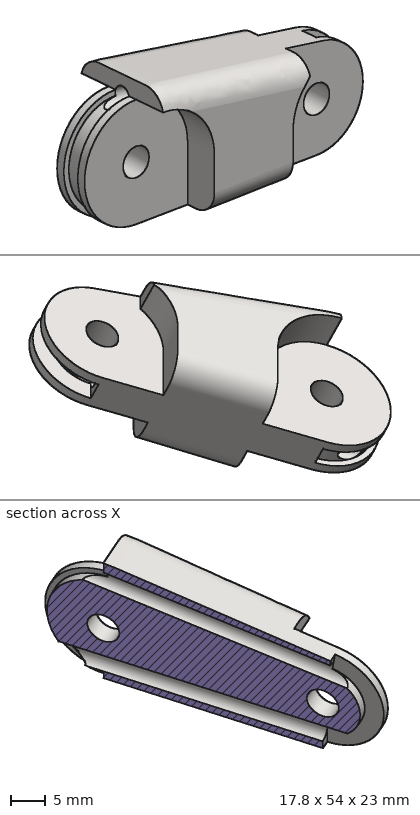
import cadquery as cq
import math

total_length = 54.0
front_radius = 10.0
rear_radius = 9.0
pin_diameter = 5.0
plate_width = 6.0
front_y = front_radius
front_z = front_radius
rear_y = total_length - rear_radius
rear_z = rear_radius

top_angle = math.radians(8.1)
top_height = 23.0
nose_length = 1.85
nose_y = front_y + nose_length
tangent_y = rear_y + rear_radius * math.sin(top_angle)
tangent_z = rear_z + rear_radius * math.cos(top_angle)


def top_z(y):
    """Height of the sloping top at a given Y."""
    return tangent_z + (tangent_y - y) * math.tan(top_angle)


body_width = 17.9
body_rear_width = 17.0
body_rear_y = 39.05
rear_clearance_radius = 9.5
corner_radius = 3.95

cable_diameter = 3.0
front_groove_depth = 0.95
rear_groove_depth = 3.0
lower_hole_z = 2.95
upper_hole_front_z = 19.55
upper_hole_rear_z = 15.55


def extrude_across(profile, width):
    """Extrude a YZ profile symmetrically about the middle plane."""
    return profile.extrude(width / 2, both=True)


def eye(y, z, radius, width):
    return extrude_across(cq.Workplane("YZ").center(y, z).circle(radius), width)


def make_plate():
    web = extrude_across(
        cq.Workplane("YZ")
        .moveTo(front_y, 0)
        .lineTo(rear_y, 0)
        .lineTo(rear_y, rear_z)
        .lineTo(tangent_y, tangent_z)
        .lineTo(body_rear_y, top_z(body_rear_y))
        .lineTo(front_y, front_z + front_radius)
        .close(),
        plate_width,
    )
    front_eye = eye(front_y, front_z, front_radius, plate_width)
    rear_eye = eye(rear_y, rear_z, rear_radius, plate_width)
    return web.union(front_eye).union(rear_eye)


def body_section(y, width, height):
    """Rounded rectangle standing on the underside, in the plane at the given Y."""
    plane = cq.Plane(origin=(0, y, height / 2), xDir=(1, 0, 0), normal=(0, -1, 0))
    section = cq.Sketch().rect(width, height).vertices().fillet(corner_radius)
    return section.moved(cq.Location(plane))


def body_span(near, far):
    """Straight blend between two rounded sections, each given as (y, width, height)."""
    sections = cq.Workplane("XY").placeSketch(body_section(*near), body_section(*far))
    return sections.loft(ruled=True)


def make_body():
    front = (front_y, body_width, top_height)
    nose = (nose_y, body_width, top_z(nose_y))
    rear = (body_rear_y, body_rear_width, top_z(body_rear_y))
    body = body_span(front, nose).union(body_span(nose, rear))
    for y, z, radius in (
        (front_y, front_z, front_radius),
        (rear_y, rear_z, rear_clearance_radius),
    ):
        relief = eye(y, z, radius, body_width)
        shank = cq.Workplane("XY").box(body_width, 2 * radius, z, centered=(True, True, False))
        body = body.cut(relief).cut(shank.translate((0, y, 0)))
    return body


def make_groove(y, z, radius, depth, end_points):
    """Rim groove limited to the sector whose corners are given relative to the pivot."""
    ring = eye(y, z, 2 * radius, cable_diameter).cut(eye(y, z, radius - depth, cable_diameter))
    sector = cq.Workplane("YZ").center(y, z).polyline(end_points).close()
    return ring.intersect(extrude_across(sector, cable_diameter))


def cable_hole(front_height, rear_height):
    """Lengthwise hole through the given heights at the two pivots."""
    slope = (rear_height - front_height) / (rear_y - front_y)
    start = cq.Vector(0, 0, front_height - slope * front_y)
    direction = cq.Vector(0, 1, slope)
    length = total_length * direction.Length
    return cq.Workplane(cq.Solid.makeCylinder(cable_diameter / 2, length, start, direction))


part = make_plate().union(make_body())

reach_front = 2 * front_radius
reach_rear = 2 * rear_radius
front_sector = [
    (0, -reach_front),
    (0, reach_front),
    (-reach_front, reach_front),
    (-reach_front, -reach_front),
]
rear_sector = [
    (0, 0),
    (0, -reach_rear),
    (reach_rear, -reach_rear),
    (reach_rear, reach_rear),
    (reach_rear * math.tan(top_angle), reach_rear),
]
part = part.cut(make_groove(front_y, front_z, front_radius, front_groove_depth, front_sector))
part = part.cut(make_groove(rear_y, rear_z, rear_radius, rear_groove_depth, rear_sector))

part = part.cut(cable_hole(lower_hole_z, lower_hole_z))
part = part.cut(cable_hole(upper_hole_front_z, upper_hole_rear_z))

for pin_y, pin_z in ((front_y, front_z), (rear_y, rear_z)):
    part = part.cut(eye(pin_y, pin_z, pin_diameter / 2, body_width))

result = part